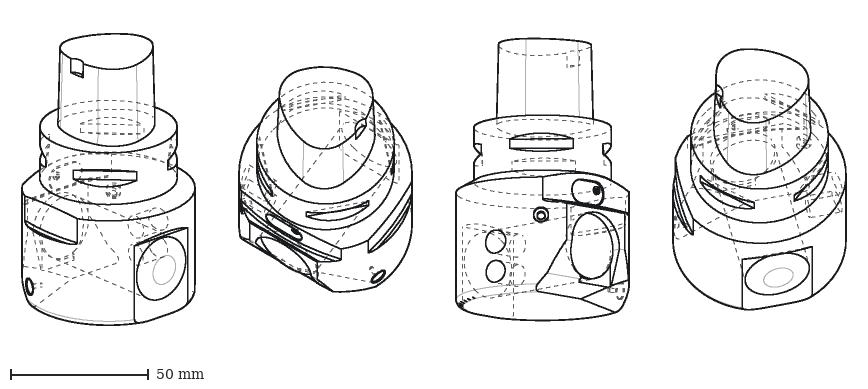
import cadquery as cq
import math


SHANK_LENGTH = 30.0
SHANK_BASE_DIA = 35.1
SHANK_TAPER = 1 / 20
LOBE_OFFSET = 1.25
LOBE_HALF_ANGLE = math.radians(29)
NOTCH_DIA = 8.5
NOTCH_DEPTH = 5.35
NOTCH_INNER_Y = -13.8

NECK_DIA = 50.0
NECK_LENGTH = 20.3
GRIPPER_COUNT = 4
FIRST_GRIPPER_AZIMUTH = 45.0
GRIPPER_Z = -10.0
GRIPPER_FLOOR_DIST = 22.15
GRIPPER_FLOOR_HEIGHT = 3.4
GRIPPER_WALL_ANGLE = math.radians(30)

HEAD_DIA = 63.0
HEAD_BOTTOM_Z = -66.0
SHOULDER_ANGLE = math.radians(60)
BOTTOM_FILLET = 2.5
SIDE_FLAT_X = -27.86
SIDE_FLAT_CHAMFER_HEIGHT = 0.5
SIDE_FLAT_CHAMFER_DEPTH = 0.35
BACK_FLAT_X = 28.7
BACK_FLAT_TOP_Z = -34.5

RELIEF_RADIUS = 83.0
RELIEF_FILLET = 1.0
SIDE_RELIEF_DIST = 25.66
SIDE_RELIEF_FLOOR_Z = -33.0
FRONT_RELIEF_DIST = 29.3
FRONT_RELIEF_FLOOR_Z = -34.6

LABEL_LENGTH = 15.6
LABEL_HEIGHT = 8.4
LABEL_Y = 1.5
LABEL_Z = -27.5
LABEL_FLOOR_X = -25.0
LABEL_WALL_DRAFT = 20
LABEL_HOLE_STEPS = [(2.88, 0.4), (1.5, 1.0)]
LABEL_HOLE_Y = -3.3
LABEL_HOLE_Z = -26.15

UPPER_SLOPE_TOP_Z = -47.0
LOWER_SLOPE_TOP_Z = -59.5
UPPER_SLOPE_ANGLE = math.radians(18)
LOWER_SLOPE_ANGLE = math.radians(30)
CORNER_SLOPE_AZIMUTH = math.radians(21.3)
CORNER_SLOPE_ANGLE = math.radians(52)

PIN_DIA = 24.0
PIN_Z = -47.0
PIN_FACE_X = -24.4
PIN_TIP_X = 30.3
PIN_TIP_DIA = 11.0
PIN_POCKET_FLOOR_X = -23.1
PIN_POCKET_INNER_Y = 3.8

NOZZLE_AZIMUTH = 251.4
NOZZLE_Z = -57.9
NOZZLE_RIM_DIA = 6.25
NOZZLE_RIM_DEPTH = 0.4
NOZZLE_CONE_DIA = 5.4
NOZZLE_CONE_DEPTH = 1.5
NOZZLE_BORE_DIA = 1.5
NOZZLE_BORE_DEPTH = 3.0

PORT_AZIMUTH = 135.0
PORT_Z = -37.9
PORT_STEPS = [(5.4, 1.8), (2.88, 4.0)]

CLAMP_BORES = [(8.5, -47.0), (8.02, -58.0)]
CLAMP_BORE_X = -7.0
CLAMP_BORE_DEPTH = 12.0

HEAD_RADIUS = HEAD_DIA / 2
NECK_RADIUS = NECK_DIA / 2
SHOULDER_Z = -NECK_LENGTH - (HEAD_RADIUS - NECK_RADIUS) / math.tan(SHOULDER_ANGLE)
CUTTER = 3 * HEAD_DIA


def shank_point(mean_dia, angle):
    """Point of the trochoid; angle 0 is the tip of the +Y lobe."""
    across = mean_dia / 2 * math.sin(angle) - LOBE_OFFSET * math.sin(2 * angle)
    along = mean_dia / 2 * math.cos(angle) + LOBE_OFFSET * math.cos(2 * angle)
    return (across, along)


def shank_outline(plane, mean_dia):
    """Three lobe arcs joined by three flatter flank arcs."""
    third = 2 * math.pi / 3
    outline = plane.moveTo(*shank_point(mean_dia, -LOBE_HALF_ANGLE))
    for lobe in range(3):
        middle = lobe * third
        for angle, end in (
            (middle, middle + LOBE_HALF_ANGLE),
            (middle + third / 2, middle + third - LOBE_HALF_ANGLE),
        ):
            outline = outline.threePointArc(shank_point(mean_dia, angle), shank_point(mean_dia, end))
    return outline.close()


def make_shank():
    top_dia = SHANK_BASE_DIA - SHANK_TAPER * SHANK_LENGTH
    base = shank_outline(cq.Workplane("XY"), SHANK_BASE_DIA)
    shank = shank_outline(base.workplane(offset=SHANK_LENGTH), top_dia).loft(ruled=True, combine=True)
    notch = (
        cq.Workplane("XY", origin=(0, NOTCH_INNER_Y - NOTCH_DIA / 2, SHANK_LENGTH))
        .circle(NOTCH_DIA / 2)
        .extrude(-NOTCH_DEPTH)
    )
    return shank.cut(notch)


def make_turned_body():
    """Neck, conical shoulder and head with a rounded bottom edge."""
    return (
        cq.Workplane("XZ")
        .lineTo(NECK_RADIUS, 0)
        .lineTo(NECK_RADIUS, -NECK_LENGTH)
        .lineTo(HEAD_RADIUS, SHOULDER_Z)
        .lineTo(HEAD_RADIUS, HEAD_BOTTOM_Z + BOTTOM_FILLET)
        .radiusArc((HEAD_RADIUS - BOTTOM_FILLET, HEAD_BOTTOM_Z), BOTTOM_FILLET)
        .lineTo(0, HEAD_BOTTOM_Z)
        .close()
        .revolve(360, (0, 0, 0), (0, 1, 0))
    )


def gripper_slot(azimuth):
    """Trapezoid slot whose floor is a chord of the neck."""
    run = NECK_RADIUS - GRIPPER_FLOOR_DIST
    half_floor = GRIPPER_FLOOR_HEIGHT / 2
    half_mouth = half_floor + run * math.tan(GRIPPER_WALL_ANGLE)
    return (
        cq.Workplane("XZ", origin=(0, 0, GRIPPER_Z))
        .moveTo(GRIPPER_FLOOR_DIST, -half_floor)
        .lineTo(NECK_RADIUS, -half_mouth)
        .lineTo(NECK_RADIUS, half_mouth)
        .lineTo(GRIPPER_FLOOR_DIST, half_floor)
        .close()
        .extrude(NECK_RADIUS, both=True)
        .rotate((0, 0, 0), (0, 0, 1), azimuth)
    )


def half_space(point, normal):
    """Block that fills everything on the outer side of a plane."""
    return cq.Workplane(cq.Plane(origin=point, normal=normal)).rect(CUTTER, CUTTER).extrude(CUTTER)


def relief_cutter(azimuth, face_dist, floor_z):
    """Removes the head outside a large barrel face, with a fillet at the relief floor."""
    height = -NECK_LENGTH - floor_z
    barrel = (
        cq.Workplane("XY", origin=(RELIEF_RADIUS - face_dist, 0, floor_z))
        .circle(RELIEF_RADIUS + RELIEF_FILLET)
        .extrude(height)
    )
    groove = (
        cq.Workplane("XZ", origin=(RELIEF_RADIUS - face_dist, 0, floor_z))
        .moveTo(RELIEF_RADIUS + RELIEF_FILLET, 0)
        .radiusArc((RELIEF_RADIUS, RELIEF_FILLET), RELIEF_FILLET)
        .lineTo(RELIEF_RADIUS, height)
        .lineTo(RELIEF_RADIUS + RELIEF_FILLET, height)
        .close()
        .revolve(360, (0, 0, 0), (0, 1, 0))
    )
    near_side = cq.Workplane("XY", origin=(-CUTTER / 2, 0, floor_z)).rect(CUTTER, CUTTER).extrude(height)
    outside = near_side.cut(barrel).union(groove)
    return outside.intersect(near_side).rotate((0, 0, 0), (0, 0, 1), azimuth)


def side_flat_cutter():
    """Flat on -X below the side relief, with a small chamfer along its top edge."""
    return (
        cq.Workplane("XZ")
        .moveTo(SIDE_FLAT_X + SIDE_FLAT_CHAMFER_DEPTH, SIDE_RELIEF_FLOOR_Z)
        .lineTo(SIDE_FLAT_X, SIDE_RELIEF_FLOOR_Z - SIDE_FLAT_CHAMFER_HEIGHT)
        .lineTo(SIDE_FLAT_X, HEAD_BOTTOM_Z)
        .lineTo(-CUTTER, HEAD_BOTTOM_Z)
        .lineTo(-CUTTER, SIDE_RELIEF_FLOOR_Z)
        .close()
        .extrude(HEAD_RADIUS, both=True)
    )


def back_flat_cutter():
    """Flat on +X that runs out to the head surface at 45 degrees."""
    step = HEAD_RADIUS - BACK_FLAT_X
    return (
        cq.Workplane("XZ")
        .moveTo(BACK_FLAT_X, HEAD_BOTTOM_Z)
        .lineTo(BACK_FLAT_X, BACK_FLAT_TOP_Z)
        .lineTo(BACK_FLAT_X + step, BACK_FLAT_TOP_Z + step)
        .lineTo(BACK_FLAT_X + step, HEAD_BOTTOM_Z)
        .close()
        .extrude(HEAD_RADIUS, both=True)
    )


def cut_slopes(head):
    """Two slopes facing -X, then a corner slope turned towards -Y."""
    break_x = SIDE_FLAT_X + (UPPER_SLOPE_TOP_Z - LOWER_SLOPE_TOP_Z) * math.tan(UPPER_SLOPE_ANGLE)
    foot_x = break_x + (LOWER_SLOPE_TOP_Z - HEAD_BOTTOM_Z) * math.tan(LOWER_SLOPE_ANGLE)
    for point, slope in (
        ((SIDE_FLAT_X, 0, UPPER_SLOPE_TOP_Z), UPPER_SLOPE_ANGLE),
        ((break_x, 0, LOWER_SLOPE_TOP_Z), LOWER_SLOPE_ANGLE),
    ):
        head = head.cut(half_space(point, (-math.cos(slope), 0, -math.sin(slope))))
    level = math.cos(CORNER_SLOPE_ANGLE)
    corner_normal = (
        -level * math.cos(CORNER_SLOPE_AZIMUTH),
        -level * math.sin(CORNER_SLOPE_AZIMUTH),
        -math.sin(CORNER_SLOPE_ANGLE),
    )
    return head.cut(half_space((foot_x, 0, HEAD_BOTTOM_Z), corner_normal))


def label_recess():
    """Round-ended recess with flaring walls and a small stepped hole in its floor."""
    recess = (
        cq.Workplane("ZY", origin=(LABEL_FLOOR_X, LABEL_Y, LABEL_Z))
        .slot2D(LABEL_LENGTH, LABEL_HEIGHT, 90)
        .extrude(SIDE_RELIEF_DIST + LABEL_FLOOR_X, taper=-LABEL_WALL_DRAFT)
    )
    floor = cq.Workplane("YZ", origin=(LABEL_FLOOR_X, LABEL_HOLE_Y, LABEL_HOLE_Z))
    for diameter, depth in LABEL_HOLE_STEPS:
        recess = recess.union(floor.circle(diameter / 2).extrude(depth))
    return recess


def pin_pocket():
    """Through bore for the pin and a square pocket below it, open to the slopes."""
    bore = cq.Workplane("YZ", origin=(-HEAD_RADIUS, 0, PIN_Z)).circle(PIN_DIA / 2).extrude(HEAD_DIA)
    width = PIN_DIA / 2 + PIN_POCKET_INNER_Y
    pocket = cq.Workplane("XY").box(
        PIN_POCKET_FLOOR_X + HEAD_RADIUS, width, PIN_Z - HEAD_BOTTOM_Z, centered=False
    ).translate((-HEAD_RADIUS, -PIN_DIA / 2, HEAD_BOTTOM_Z))
    return bore.union(pocket)


def radial_hole(azimuth, z, outline):
    """Turned hole on a radial axis; the outline holds (radius, depth) points from the mouth inwards."""
    profile = [(0, 0)] + outline + [(0, outline[-1][1])]
    return (
        cq.Workplane("XY")
        .polyline([(HEAD_RADIUS - depth, radius) for radius, depth in profile])
        .close()
        .revolve(360, (0, 0, 0), (1, 0, 0))
        .rotate((0, 0, 0), (0, 0, 1), azimuth)
        .translate((0, 0, z))
    )


def nozzle_hole():
    cone_end = NOZZLE_RIM_DEPTH + NOZZLE_CONE_DEPTH
    return radial_hole(
        NOZZLE_AZIMUTH,
        NOZZLE_Z,
        [
            (NOZZLE_RIM_DIA / 2, 0),
            (NOZZLE_RIM_DIA / 2, NOZZLE_RIM_DEPTH),
            (NOZZLE_CONE_DIA / 2, NOZZLE_RIM_DEPTH),
            (NOZZLE_BORE_DIA / 2, cone_end),
            (NOZZLE_BORE_DIA / 2, cone_end + NOZZLE_BORE_DEPTH),
        ],
    )


def port_hole():
    outline = []
    start = 0
    for diameter, end in PORT_STEPS:
        outline += [(diameter / 2, start), (diameter / 2, end)]
        start = end
    return radial_hole(PORT_AZIMUTH, PORT_Z, outline)


def clamp_bore(diameter, z):
    return (
        cq.Workplane("XZ", origin=(CLAMP_BORE_X, HEAD_RADIUS, z))
        .circle(diameter / 2)
        .extrude(CLAMP_BORE_DEPTH)
    )


def make_housing():
    housing = make_turned_body()
    for index in range(GRIPPER_COUNT):
        housing = housing.cut(gripper_slot(FIRST_GRIPPER_AZIMUTH + index * 360 / GRIPPER_COUNT))
    housing = housing.cut(relief_cutter(0, SIDE_RELIEF_DIST, SIDE_RELIEF_FLOOR_Z))
    housing = housing.cut(relief_cutter(90, FRONT_RELIEF_DIST, FRONT_RELIEF_FLOOR_Z))
    housing = housing.cut(side_flat_cutter()).cut(back_flat_cutter())
    housing = cut_slopes(housing)
    housing = housing.cut(label_recess()).cut(pin_pocket())
    housing = housing.cut(nozzle_hole()).cut(port_hole())
    for diameter, z in CLAMP_BORES:
        housing = housing.cut(clamp_bore(diameter, z))
    return housing.union(make_shank())


def make_pin():
    """Plain pin with a shallow cone that starts at the back flat and ends in a flat tip."""
    radius = PIN_DIA / 2
    return (
        cq.Workplane("XY")
        .moveTo(PIN_FACE_X, 0)
        .lineTo(PIN_FACE_X, radius)
        .lineTo(BACK_FLAT_X, radius)
        .lineTo(PIN_TIP_X, PIN_TIP_DIA / 2)
        .lineTo(PIN_TIP_X, 0)
        .close()
        .revolve(360, (0, 0, 0), (1, 0, 0))
        .translate((0, 0, PIN_Z))
    )


housing = make_housing()
pin = make_pin()
result = cq.Compound.makeCompound([housing.solids().val(), pin.val()])